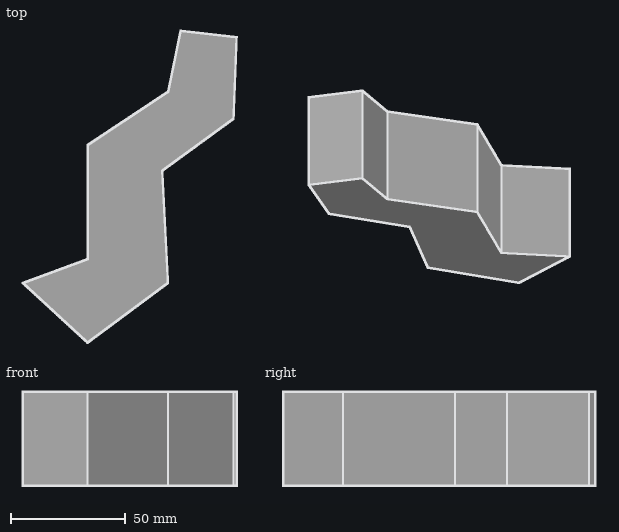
import cadquery as cq

length_x = 93.06
length_y = 135.69
height = 41.0

left_tip_x = -28.2
right_tip_x = left_tip_x + length_x

foot_corner_y = 26.0
bend_x = 35.0

wall_bottom_y = 36.4
wall_top_y = 86.0

left_inner_bend_y = 109.2
right_inner_bend = (32.5, 74.8)
right_outer_bend = (63.5, 97.4)

top_left_x = 40.4
top_right_y = 132.9

outline = [
    (0.0, 0.0),
    (bend_x, foot_corner_y),
    right_inner_bend,
    right_outer_bend,
    (right_tip_x, top_right_y),
    (top_left_x, length_y),
    (bend_x, left_inner_bend_y),
    (0.0, wall_top_y),
    (0.0, wall_bottom_y),
    (left_tip_x, foot_corner_y),
]

result = cq.Workplane("XY").polyline(outline).close().extrude(height)